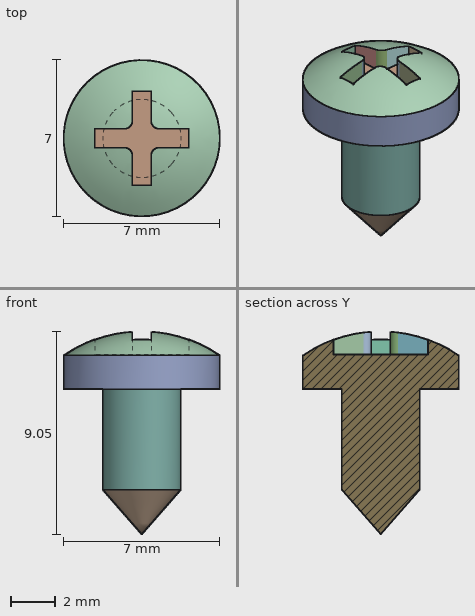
import cadquery as cq

head_diameter = 7.0
head_rim_height = 1.5
dome_rise = 1.095

shank_diameter = 3.5
shank_length = 4.5
point_length = 2.0

recess_span = 4.21
recess_width = 0.84
recess_corner_radius = 0.35
recess_depth = 1.05
recess_clearance = 0.45

head_bottom = point_length + shank_length
rim_top = head_bottom + head_rim_height
dome_apex = rim_top + dome_rise

head_radius = head_diameter / 2
shank_radius = shank_diameter / 2
dome_radius = (head_radius**2 + dome_rise**2) / (2 * dome_rise)


def make_screw_body():
    """Revolve the half profile of point, shank and domed head."""
    dome_center = dome_apex - dome_radius
    mid_radius = head_radius / 2
    mid_height = dome_center + (dome_radius**2 - mid_radius**2) ** 0.5
    return (
        cq.Workplane("XZ")
        .moveTo(0, 0)
        .lineTo(shank_radius, point_length)
        .lineTo(shank_radius, head_bottom)
        .lineTo(head_radius, head_bottom)
        .lineTo(head_radius, rim_top)
        .threePointArc((mid_radius, mid_height), (0, dome_apex))
        .close()
        .revolve(360, (0, 0, 0), (0, 1, 0))
    )


def make_cross_recess():
    """Flat-bottomed cross with rounded inner corners, cut through the dome apex."""
    cutter_height = recess_depth + recess_clearance
    floor = cq.Workplane("XY").workplane(offset=dome_apex - recess_depth)
    arm_x = floor.rect(recess_span, recess_width).extrude(cutter_height)
    arm_y = floor.rect(recess_width, recess_span).extrude(cutter_height)
    inner_corners = cq.selectors.BoxSelector(
        (-recess_width, -recess_width, 0),
        (recess_width, recess_width, dome_apex + recess_clearance),
    )
    cross = arm_x.union(arm_y)
    return cross.edges("|Z").edges(inner_corners).fillet(recess_corner_radius)


result = make_screw_body().cut(make_cross_recess())